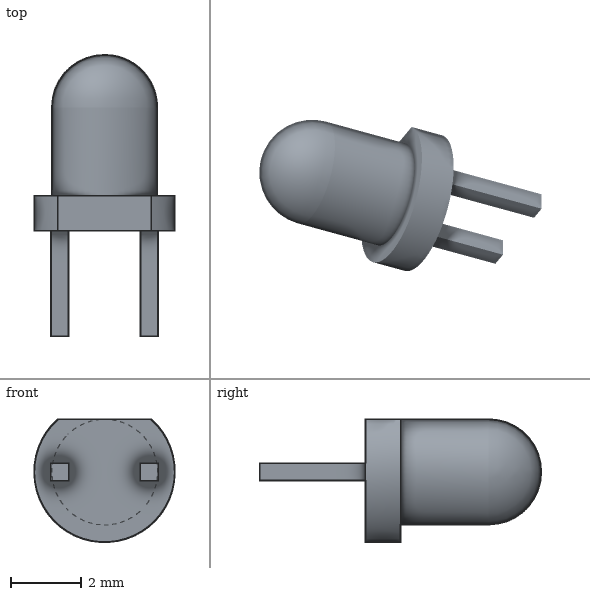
import cadquery as cq

lens_radius = 1.5
lens_straight_length = 2.5
flange_radius = 2.0
flange_thickness = 1.0
flat_height = lens_radius
lead_width = 0.5
lead_length = 3.0
lead_pitch = 2.54


def make_flange():
    """Round flange with one flat on its +Z side."""
    disc = cq.Workplane("XZ").circle(flange_radius).extrude(-flange_thickness)
    cut_depth = flange_radius - flat_height
    flat_cutter = cq.Workplane("XY").box(
        2 * flange_radius, flange_thickness, cut_depth, centered=(True, False, False)
    ).translate((0, 0, flat_height))
    return disc.cut(flat_cutter)


def make_lens():
    """Cylinder closed by a hemispherical dome, revolved about the Y axis."""
    dome_start = flange_thickness + lens_straight_length
    dome_tip = dome_start + lens_radius
    dome_offset = lens_radius * 0.5 ** 0.5
    return (
        cq.Workplane("XY")
        .moveTo(0, flange_thickness)
        .lineTo(lens_radius, flange_thickness)
        .lineTo(lens_radius, dome_start)
        .threePointArc((dome_offset, dome_start + dome_offset), (0, dome_tip))
        .close()
        .revolve(360, (0, 0, 0), (0, 1, 0))
    )


def make_lead(x):
    """Straight square lead reaching toward -Y from the flange."""
    return cq.Workplane("XZ").center(x, 0).rect(lead_width, lead_width).extrude(lead_length)


housing = make_flange().union(make_lens())
leads = [make_lead(side * lead_pitch / 2) for side in (-1, 1)]

result = cq.Compound.makeCompound([housing.val(), *[lead.val() for lead in leads]])